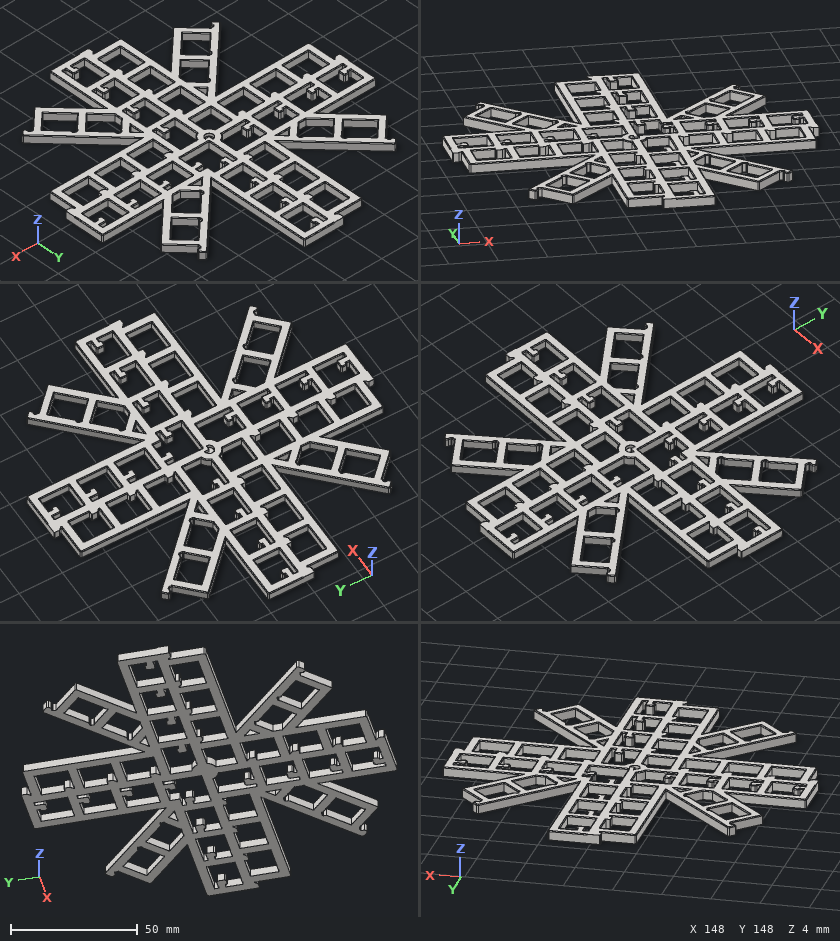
import cadquery as cq
span = 148.0
thickness = 4.0
top_chamfer = 0.37
pitch = 17.5
cells_per_row = 3
window_length = 13.6
overlap = 1.5

arm_half_width = 17.6
arm_corner = 0.6
row_inner = 2.0
row_outer = 13.6
hook_row_end = span / 2
hook_window_end = 70.2
plain_row_end = 70.2
plain_window_end = 66.2

hook_length = 4.3
hook_width = 3.92
hook_neck_width = 3.0
hook_neck_length = 1.3
hook_corner = 0.6
hook_offset = 1.7

lug_reach = 3.8
lug_corner = 0.3
lug_root = 2.59
lug_slant = 1.3
lug_foot = 0.7

diagonal_rail_outer = 1.9
diagonal_rail_inner = -2.0
diagonal_row_outer = -12.9
diagonal_edge = -16.9
diagonal_row_end = 69.9
diagonal_tip = 74.0
diagonal_window_end = 66.2
diagonal_start = 20.7
diagonal_corner = 0.5
notch_depth = 0.9
notch_length = 2.4
notch_flat = 0.5
tip_corner = 0.6

hub_radius = 5.3
pocket_radius = 2.0
pocket_depth = 1.5


def rectangle(x0, x1, y0, y1):
    return [(x0, y0), (x1, y0), (x1, y1), (x0, y1)]


def solid_prism(points):
    """Full-height material with its top edges chamfered."""
    prism = cq.Workplane("XY").polyline(points).close().extrude(thickness)
    return prism.faces(">Z").chamfer(top_chamfer)


def opening(points):
    """Full-height cutter that flares to chamfer the rim it leaves on the top face."""
    shaft = cq.Workplane("XY").polyline(points).close().extrude(thickness)
    flare_plane = cq.Workplane("XY").workplane(offset=thickness - top_chamfer)
    flare = flare_plane.polyline(points).close().extrude(top_chamfer, taper=-45)
    return shaft.union(flare)


def sharp_block(x0, x1, y0, y1):
    return cq.Workplane("XY").polyline(rectangle(x0, x1, y0, y1)).close().extrude(thickness)


def on_each_arm(near_side, far_side):
    """Place +Y arm features: near_side on the +Y and -X arms, far_side on the -Y and +X arms."""
    down = far_side.mirror("XZ")
    left = near_side.rotate((0, 0, 0), (0, 0, 1), 90)
    right = down.rotate((0, 0, 0), (0, 0, 1), 90)
    return near_side.union(left).union(down).union(right)


def arm_plate():
    return solid_prism([
        (-arm_half_width, -overlap),
        (arm_half_width, -overlap),
        (arm_half_width, hook_row_end - arm_corner),
        (arm_half_width - arm_corner, hook_row_end),
        (0, hook_row_end),
        (0, plain_row_end),
        (arm_corner - arm_half_width, plain_row_end),
        (-arm_half_width, plain_row_end - arm_corner),
    ])


def arm_windows():
    inner_top = hook_window_end - cells_per_row * pitch
    windows = opening(rectangle(row_inner, row_outer, row_inner, inner_top))
    for cell in range(cells_per_row):
        hook_top = hook_window_end - cell * pitch
        plain_top = plain_window_end - cell * pitch
        hook_cell = rectangle(row_inner, row_outer, hook_top - window_length, hook_top)
        plain_cell = rectangle(-row_outer, -row_inner, plain_top - window_length, plain_top)
        windows = windows.union(opening(hook_cell)).union(opening(plain_cell))
    return windows


def lug(bar_top):
    root = bar_top - (hook_row_end - plain_row_end)
    return cq.Workplane("XY").polyline([
        (overlap, bar_top),
        (-lug_reach + lug_corner, bar_top),
        (-lug_reach, bar_top - lug_corner),
        (-lug_reach, root + lug_slant),
        (-lug_root, root),
        (-lug_root, root - lug_foot),
        (overlap, root - lug_foot),
    ]).close().extrude(thickness)


def hook(bar_bottom):
    flank = row_inner + hook_offset
    neck = flank + hook_neck_width
    head = flank + hook_width
    tip = bar_bottom - hook_length
    shoulder = bar_bottom - hook_neck_length
    return solid_prism([
        (flank, bar_bottom + overlap),
        (flank, tip + hook_corner),
        (flank + hook_corner, tip),
        (head - hook_corner, tip),
        (head, tip + hook_corner),
        (head, shoulder - hook_corner),
        (head - hook_corner, shoulder),
        (neck, shoulder),
        (neck, bar_bottom + overlap),
    ])


def arm_fittings(hooks_near_rail):
    fittings = cq.Workplane("XY")
    row_middle = (row_inner + row_outer) / 2
    for bar in range(cells_per_row + 1):
        hook_body = hook(hook_window_end - bar * pitch)
        if not hooks_near_rail:
            hook_body = hook_body.mirror("YZ", (row_middle, 0, 0))
        fittings = fittings.union(lug(hook_row_end - bar * pitch)).union(hook_body)
    return fittings


def notch(start):
    """Cutter for the relief in the diagonal rail beside a bar."""
    slope = (notch_length - notch_flat) / 2
    crest = diagonal_rail_inner + notch_depth
    return opening([
        (start, diagonal_rail_inner - notch_flat),
        (start, diagonal_rail_inner),
        (start + slope, crest),
        (start + slope + notch_flat, crest),
        (start + notch_length, diagonal_rail_inner),
        (start + notch_length, diagonal_rail_inner - notch_flat),
    ])


def diagonal_arm():
    """One diagonal arm, lying along +X."""
    arm = solid_prism([
        (diagonal_start, diagonal_rail_outer),
        (diagonal_tip - tip_corner, diagonal_rail_outer),
        (diagonal_tip, diagonal_rail_outer - tip_corner),
        (diagonal_tip, diagonal_rail_inner + tip_corner),
        (diagonal_tip - tip_corner, diagonal_rail_inner),
        (diagonal_row_end, diagonal_rail_inner),
        (diagonal_row_end, diagonal_edge + diagonal_corner),
        (diagonal_row_end - diagonal_corner, diagonal_edge),
        (diagonal_start, diagonal_edge),
    ])
    for cell in range(cells_per_row):
        end = diagonal_window_end - cell * pitch
        start = end - window_length
        arm = arm.cut(opening(rectangle(start, end, diagonal_row_outer, diagonal_rail_inner)))
    for bar in range(cells_per_row):
        arm = arm.cut(notch(diagonal_row_end - bar * pitch))
    return arm


body = on_each_arm(arm_plate(), arm_plate())

trim = arm_half_width - overlap
core = sharp_block(-trim, trim, -span, span).union(sharp_block(-span, span, -trim, trim))
for angle in (45, -45):
    diagonal = diagonal_arm().rotate((0, 0, 0), (0, 0, 1), angle).cut(core)
    body = body.union(diagonal).union(diagonal.mirror("YZ"))

body = body.cut(on_each_arm(arm_windows(), arm_windows()))
body = body.cut(opening(rectangle(-row_outer, -row_inner, -row_outer, -row_inner)))
body = body.union(on_each_arm(arm_fittings(True), arm_fittings(False)))

open_quadrant = sharp_block(0, hub_radius, 0, hub_radius)
hub = cq.Workplane("XY").circle(hub_radius).extrude(thickness)
hub = hub.faces(">Z").chamfer(top_chamfer).cut(open_quadrant)
pocket_floor = cq.Workplane("XY").workplane(offset=thickness - pocket_depth)
pocket = pocket_floor.circle(pocket_radius).extrude(pocket_depth).cut(open_quadrant)

result = body.union(hub).cut(pocket)